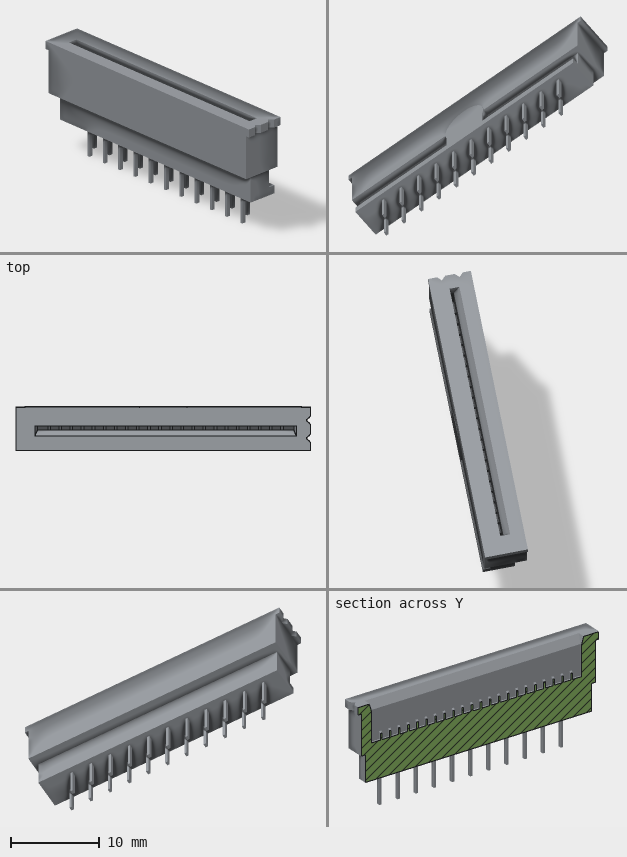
import cadquery as cq
TOTAL_HEIGHT = 13.3
BASE_BOTTOM = 3.5
LEDGE_TOP = 4.5
BODY_BOTTOM = 6.98
FLANGE_BOTTOM = 12.3

FLANGE_LENGTH = 33.25
END_OVERHANG = 0.45
BODY_LENGTH = FLANGE_LENGTH - 2 * END_OVERHANG
BASE_LENGTH = 31.2

BODY_FRONT = -2.5
BASE_FRONT = -1.23
BASE_WALL_BACK = 1.63
BODY_BACK = 2.43
BASE_BACK = 2.5

KEY_RADIUS = 2.7
KEY_NECK_WIDTH = 5.05

PIN_COUNT = 22
PIN_SPAN = 26.27
PIN_PITCH = PIN_SPAN / (PIN_COUNT - 1)
PIN_CENTRE = 0.25
PIN_WIDTH = 0.3
PIN_DEPTH = 0.45
BACK_PIN_ROW = 1.6
FRONT_PIN_ROW = -0.33

SLOT_CENTRE = 0.25
SLOT_LENGTH = 29.53
SLOT_FRONT = -0.85
SLOT_INNER_FRONT = -0.15
SLOT_BACK = 0.25
SLOT_DEPTH = 5.0
LEAD_DEPTH = 1.0
END_LEAD_LENGTH = 0.3
CONTACT_HEIGHT = 1.0

NOTCH_CENTRES = (0.93, -1.1)


def block(length, front, back, bottom, top, centre=0.0):
    """Box centred at one X position and given by its faces in Y and Z."""
    box = cq.Workplane("XY").box(length, back - front, top - bottom, centered=(True, False, False))
    return box.translate((centre, front, bottom))


def extrude_along_x(points, length, centre):
    """Prism with a (Y, Z) profile, centred at one X position."""
    prism = cq.Workplane("YZ").polyline(points).close().extrude(length / 2, both=True)
    return prism.translate((centre, 0, 0))


def flange():
    plate = block(FLANGE_LENGTH, BODY_FRONT, BODY_BACK, FLANGE_BOTTOM, TOTAL_HEIGHT)
    end = FLANGE_LENGTH / 2
    for y in NOTCH_CENTRES:
        corners = [(end, y - END_OVERHANG), (end - END_OVERHANG, y), (end, y + END_OVERHANG)]
        notch = cq.Workplane("XY").polyline(corners).close().extrude(TOTAL_HEIGHT)
        plate = plate.cut(notch)
    return plate


def base():
    wall = block(BASE_LENGTH, BASE_FRONT, BASE_WALL_BACK, BASE_BOTTOM, BODY_BOTTOM)
    ledge = block(BASE_LENGTH, BASE_FRONT, BASE_BACK, BASE_BOTTOM, LEDGE_TOP)
    return wall.union(ledge)


def key():
    neck = block(KEY_NECK_WIDTH, BASE_WALL_BACK, BASE_BACK, LEDGE_TOP, BODY_BOTTOM)
    head = cq.Workplane("XZ", origin=(0, BASE_WALL_BACK, BODY_BOTTOM)).circle(KEY_RADIUS)
    return neck.union(head.extrude(BASE_WALL_BACK - BASE_BACK))


def slot():
    floor = TOTAL_HEIGHT - SLOT_DEPTH
    profile = [
        (SLOT_FRONT, TOTAL_HEIGHT),
        (SLOT_INNER_FRONT, TOTAL_HEIGHT - LEAD_DEPTH),
        (SLOT_INNER_FRONT, floor),
        (SLOT_BACK, floor),
        (SLOT_BACK, TOTAL_HEIGHT),
    ]
    across = extrude_along_x(profile, SLOT_LENGTH, SLOT_CENTRE)

    outer = SLOT_LENGTH / 2
    inner = outer - END_LEAD_LENGTH
    end_profile = [
        (-outer, TOTAL_HEIGHT),
        (-inner, TOTAL_HEIGHT - LEAD_DEPTH),
        (-inner, floor),
        (inner, floor),
        (inner, TOTAL_HEIGHT - LEAD_DEPTH),
        (outer, TOTAL_HEIGHT),
    ]
    along = cq.Workplane("XZ").polyline(end_profile).close().extrude(BODY_BACK, both=True)
    return across.intersect(along.translate((SLOT_CENTRE, 0, 0)))


def contact(x):
    """Blade standing on the slot floor, its top falling at 45 degrees towards the back."""
    floor = TOTAL_HEIGHT - SLOT_DEPTH
    tip = floor + CONTACT_HEIGHT
    fall = SLOT_BACK - SLOT_INNER_FRONT
    profile = [
        (SLOT_INNER_FRONT, floor),
        (SLOT_BACK, floor),
        (SLOT_BACK, tip - fall),
        (SLOT_INNER_FRONT, tip),
    ]
    return extrude_along_x(profile, PIN_WIDTH, x)


def pin(x, row):
    return block(PIN_WIDTH, row - PIN_DEPTH / 2, row + PIN_DEPTH / 2, 0, BASE_BOTTOM, x)


body = block(BODY_LENGTH, BODY_FRONT, BODY_BACK, BODY_BOTTOM, FLANGE_BOTTOM)
result = body.union(flange()).union(base()).union(key()).cut(slot())

for index in range(PIN_COUNT):
    offset = index * PIN_PITCH - PIN_SPAN / 2
    row = BACK_PIN_ROW if index % 2 == 0 else FRONT_PIN_ROW
    result = result.union(contact(SLOT_CENTRE + offset)).union(pin(PIN_CENTRE + offset, row))